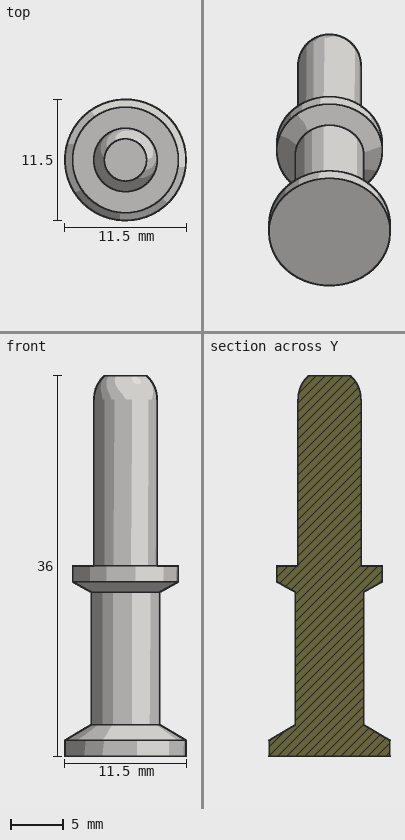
import cadquery as cq
import math

total_length = 36.0
base_diameter = 11.5
shank_diameter = 6.5
collar_diameter = 10.0
pin_diameter = 6.0
tip_flat_diameter = 4.0

base_rim_top = 1.5
base_cone_top = 3.0
collar_cone_bottom = 15.5
collar_rim_bottom = 16.5
collar_top = total_length / 2

base_radius = base_diameter / 2
shank_radius = shank_diameter / 2
collar_radius = collar_diameter / 2
pin_radius = pin_diameter / 2
tip_flat_radius = tip_flat_diameter / 2

dome_bottom = total_length - math.sqrt(pin_radius**2 - tip_flat_radius**2)
dome_middle_angle = math.acos(tip_flat_radius / pin_radius) / 2
dome_middle = (
    pin_radius * math.cos(dome_middle_angle),
    dome_bottom + pin_radius * math.sin(dome_middle_angle),
)

profile = (
    cq.Workplane("XZ")
    .moveTo(0, 0)
    .lineTo(base_radius, 0)
    .lineTo(base_radius, base_rim_top)
    .lineTo(shank_radius, base_cone_top)
    .lineTo(shank_radius, collar_cone_bottom)
    .lineTo(collar_radius, collar_rim_bottom)
    .lineTo(collar_radius, collar_top)
    .lineTo(pin_radius, collar_top)
    .lineTo(pin_radius, dome_bottom)
    .threePointArc(dome_middle, (tip_flat_radius, total_length))
    .lineTo(0, total_length)
    .close()
)

result = profile.revolve(360, (0, 0, 0), (0, 1, 0))